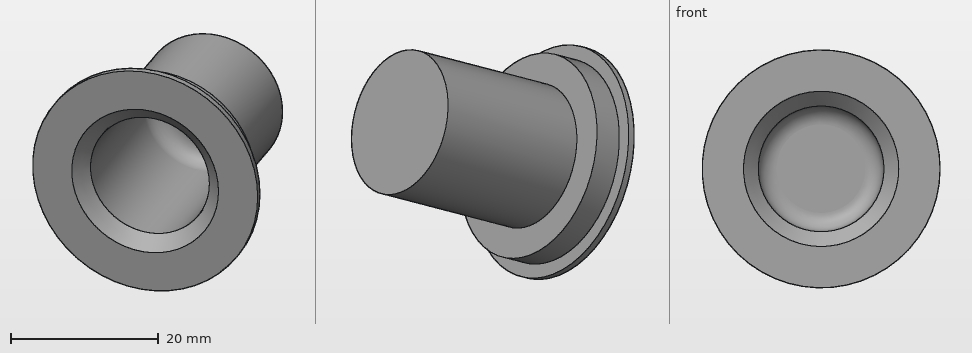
import cadquery as cq

total_length = 28.0
rim_diameter = 32.2
rim_thickness = 1.0
collar_diameter = 28.35
collar_thickness = 4.0
tube_diameter = 20.0
bore_diameter = 17.0
mouth_diameter = 21.0
floor_flat_diameter = 11.98

floor_thickness = (tube_diameter - bore_diameter) / 2
bore_depth = total_length - floor_thickness
floor_fillet = (bore_diameter - floor_flat_diameter) / 2
mouth_chamfer = (mouth_diameter - bore_diameter) / 2


def cylinder_from_front(diameter, length):
    """Cylinder along +Y starting at the front face of the rim."""
    return cq.Workplane("XZ").circle(diameter / 2).extrude(-length)


body = cylinder_from_front(tube_diameter, total_length)
body = body.union(cylinder_from_front(collar_diameter, rim_thickness + collar_thickness))
body = body.union(cylinder_from_front(rim_diameter, rim_thickness))

bore = cylinder_from_front(bore_diameter, bore_depth)
bore = bore.faces(">Y").edges().fillet(floor_fillet)

mouth = (
    cq.Workplane("XZ")
    .circle(mouth_diameter / 2)
    .workplane(offset=-mouth_chamfer)
    .circle(bore_diameter / 2)
    .loft()
)

result = body.cut(bore).cut(mouth)